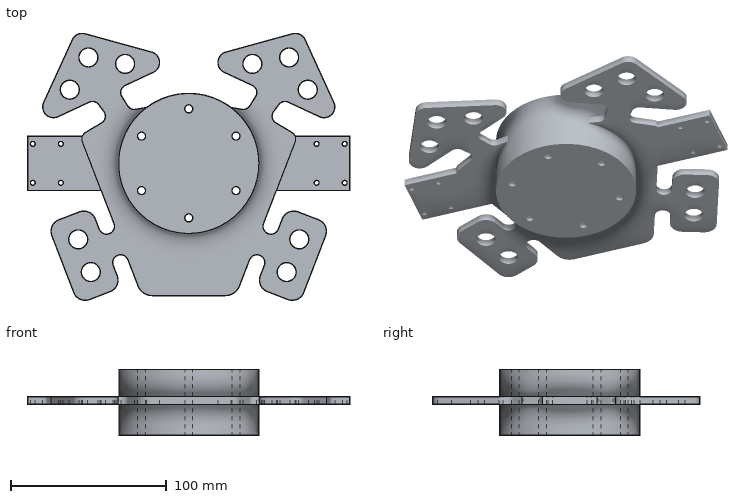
import cadquery as cq
import math

plate_thickness = 5.0

hub_radius = 45.0
hub_rise = 17.5
hub_drop = 20.0
bolt_count = 6
bolt_circle_radius = 35.0
bolt_hole_diameter = 5.0

rear_edge_y = -85.0
rear_half_width = 30.2
flank_lean = 21.1
rear_corner_radius = 10.0
shoulder_y = 17.8
shoulder_radius = 5.0

leg_width = 30.0
leg_length = 55.0
leg_corner_radius = 8.0
leg_neck_width = 15.0
leg_slot_width = 10.0
leg_place_along_flank = 37.2
leg_hole_spacing = 22.5

arm_turn = 25.0
arm_base_center = (53.3, 44.15)
arm_half_base = 52.75
arm_height = 44.9
arm_corner_radius = 7.0
arm_neck_radius = 5.0
arm_neck_outer_offset = 7.6
arm_neck_inner_offset = 8.2
arm_neck_outer_foot = (51.3, 28.8)
arm_neck_inner_foot = (37.4, 34.2)
waist_center_y = 40.5
arm_side_hole_offset = 19.6
arm_side_hole_height = 12.6
arm_tip_hole_height = 26.3

mount_hole_diameter = 12.0

tab_end_x = 103.5
tab_width = 35.0
tab_blank_inner_x = 50.0
tab_hole_diameter = 3.0
tab_hole_center_x = 91.1
tab_hole_spacing_x = 18.0
tab_hole_spacing_y = 25.0


def place(center, turn, across, along):
    """Point at (across, along) in a frame at center that is turned clockwise by turn degrees."""
    angle = math.radians(turn)
    x = center[0] + across * math.cos(angle) + along * math.sin(angle)
    y = center[1] - across * math.sin(angle) + along * math.cos(angle)
    return x, y


def leg_point(across, along):
    """Point in the right leg's frame; along runs up the flank and across points outward."""
    neck_offset = leg_slot_width + leg_width / 2
    rear_corner = (rear_half_width, rear_edge_y)
    center = place(rear_corner, flank_lean, neck_offset, leg_place_along_flank)
    return place(center, flank_lean, across, along)


def arm_point(across, along):
    """Point in the right arm's frame; across runs along the base and along points to the tip."""
    return place(arm_base_center, arm_turn, across, along)


def right_half_corners():
    """Corners of the plate's right half from rear to front, each with its rounding radius."""
    slot_radius = leg_slot_width / 2
    inner = -leg_width / 2
    outer = leg_width / 2
    flank = inner - leg_slot_width
    end = leg_length / 2
    neck = leg_neck_width / 2
    shoulder_x = rear_half_width + (shoulder_y - rear_edge_y) * math.tan(math.radians(flank_lean))
    return [
        ((rear_half_width, rear_edge_y), rear_corner_radius),
        (leg_point(flank, -neck), slot_radius),
        (leg_point(inner, -neck), slot_radius),
        (leg_point(inner, -end), leg_corner_radius),
        (leg_point(outer, -end), leg_corner_radius),
        (leg_point(outer, end), leg_corner_radius),
        (leg_point(inner, end), leg_corner_radius),
        (leg_point(inner, neck), slot_radius),
        (leg_point(flank, neck), slot_radius),
        ((shoulder_x, shoulder_y), shoulder_radius),
        (arm_neck_outer_foot, arm_neck_radius),
        (arm_point(arm_neck_outer_offset, 0), arm_neck_radius),
        (arm_point(arm_half_base, 0), arm_corner_radius),
        (arm_point(0, arm_height), arm_corner_radius),
        (arm_point(-arm_half_base, 0), arm_corner_radius),
        (arm_point(-arm_neck_inner_offset, 0), arm_neck_radius),
        (arm_neck_inner_foot, arm_neck_radius),
    ]


def rounding_arc(before, corner, after, radius):
    """Start, middle and end of the arc that rounds a corner between two straight edges."""
    to_before = (cq.Vector(*before) - cq.Vector(*corner)).normalized()
    to_after = (cq.Vector(*after) - cq.Vector(*corner)).normalized()
    half_angle = to_before.getAngle(to_after) / 2
    setback = radius / math.tan(half_angle)
    bisector = (to_before + to_after).normalized()
    start = cq.Vector(*corner) + to_before * setback
    middle = cq.Vector(*corner) + bisector * (radius / math.sin(half_angle) - radius)
    end = cq.Vector(*corner) + to_after * setback
    return start, middle, end


def right_half_plate():
    """Right half of the plate, closed along the YZ plane."""
    shortest_edge = 0.001
    rear_center = (0, rear_edge_y)
    waist_center = (0, waist_center_y)
    corners = right_half_corners()
    points = [rear_center] + [point for point, radius in corners] + [waist_center]
    outline = cq.Workplane("XY").moveTo(*rear_center)
    position = cq.Vector(*rear_center)
    for index, (point, radius) in enumerate(corners):
        start, middle, end = rounding_arc(points[index], point, points[index + 2], radius)
        if (start - position).Length > shortest_edge:
            outline = outline.lineTo(start.x, start.y)
        outline = outline.threePointArc((middle.x, middle.y), (end.x, end.y))
        position = end
    return outline.lineTo(*waist_center).close().extrude(plate_thickness)


def both_sides(points):
    """The given points together with their mirror images across the YZ plane."""
    return points + [(-x, y) for x, y in points]


def make_plate():
    """Whole plate with its legs, arms and mounting holes."""
    half = right_half_plate()
    plate = half.union(half.mirror("YZ"))
    holes = [
        leg_point(0, -leg_hole_spacing / 2),
        leg_point(0, leg_hole_spacing / 2),
        arm_point(-arm_side_hole_offset, arm_side_hole_height),
        arm_point(arm_side_hole_offset, arm_side_hole_height),
        arm_point(0, arm_tip_hole_height),
    ]
    cutters = (
        cq.Workplane("XY").pushPoints(both_sides(holes)).circle(mount_hole_diameter / 2)
        .extrude(plate_thickness)
    )
    return plate.cut(cutters)


def make_hub_plate(plate):
    """Plate and drum in one piece, with a ring of bolt holes through the drum."""
    height = hub_drop + plate_thickness + hub_rise
    base = cq.Workplane("XY").workplane(offset=-hub_drop)
    drum = base.circle(hub_radius).extrude(height)
    bolt_holes = (
        base.polarArray(bolt_circle_radius, 90, 360, bolt_count).circle(bolt_hole_diameter / 2)
        .extrude(height)
    )
    return plate.union(drum).cut(bolt_holes)


def make_tab(side, plate):
    """Rectangular tab that butts against the plate's flank; side is 1 for +X and -1 for -X."""
    length = tab_end_x - tab_blank_inner_x
    center_x = side * (tab_blank_inner_x + length / 2)
    blank = (
        cq.Workplane("XY").center(center_x, 0).rect(length, tab_width).extrude(plate_thickness)
    )
    holes = (
        cq.Workplane("XY").center(side * tab_hole_center_x, 0)
        .rect(tab_hole_spacing_x, tab_hole_spacing_y, forConstruction=True).vertices()
        .circle(tab_hole_diameter / 2).extrude(plate_thickness)
    )
    return blank.cut(plate).cut(holes)


bare_plate = make_plate()
hub_plate = make_hub_plate(bare_plate)
tabs = [make_tab(side, bare_plate) for side in (-1, 1)]

result = cq.Compound.makeCompound([hub_plate.val(), *[tab.val() for tab in tabs]])